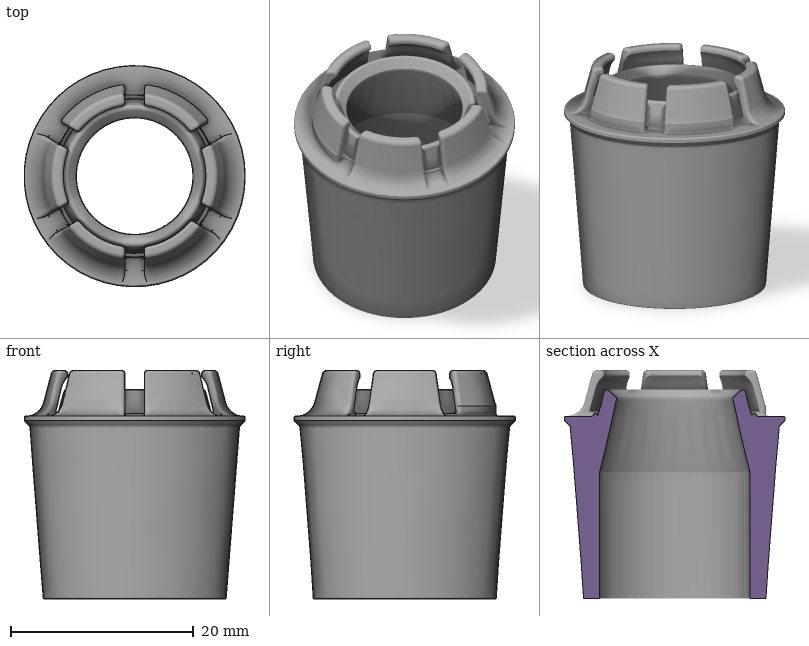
import cadquery as cq
import math

BODY_TOP_Z = 18.65
RIM_Z = 20.0
LIP_CREST_Z = 22.9
TOP_Z = 25.0

BODY_BOTTOM_R = 10.02
BODY_TOP_R = 11.46
BODY_EDGE_FILLET = 0.15
FLANGE_R = 12.1
FLANGE_EDGE_FILLET = 0.2
FLANGE_SIDE_BOTTOM_Z = 19.5
FLANGE_CHAMFER = 0.45
NECK_SAG = 0.06

BORE_R = 6.38
BORE_LAND = 0.28
CAVITY_R = 8.2
CAVITY_CONE_BOTTOM_Z = 13.9

LEAN = math.radians(15)
LIP_ROUND_R = 0.35
LIP_CENTER_R = 7.43
LIP_MOUTH_ANGLE = math.radians(133)

GROOVE_FLOOR_Z = 20.1
GROOVE_SAG = 0.1
GROOVE_STEP_R = 8.84
GROOVE_OUTER_R = 9.4
STEP_Z = 20.28
STEP_WIDTH = 0.07

FINGER_COUNT = 6
SLOT_PITCH = 360 / FINGER_COUNT
SLOT_WIDTH = 2.15
FINGER_OUTER_R = 9.02
FINGER_TOP_FILLET = 0.5
FINGER_END_FILLET = 0.35
FINGER_ROOT_Z = 19.55
FINGER_TOE_OVERLAP = 0.1
FINGER_TOE_HEIGHT = 0.03
END_EDGE_DEPTH = 0.75
FLARE_R = 2.0
FLARE_SINK = 0.005
BEAD_INNER_R = 7.8
BEAD_FILLET = 0.42
BEAD_RAMP_TOP_Z = 24.4
BEAD_RAMP_BOTTOM_Z = 23.2
BEAD_RAMP_SAG = 0.12

TRIM_R = 10.1
TRIMMED_FINGERS = (1, 2)
TRIM_CENTER_ANGLE = SLOT_PITCH * sum(TRIMMED_FINGERS) / len(TRIMMED_FINGERS)

FLOOR_FILLET = 0.25
FLOOR_FILLET_END_R = 10.3
STRIP_OVERLAP = 0.05
TOLERANCE = 0.005
ANGLE_MARGIN = 1

LIP_CENTER = (LIP_CENTER_R, LIP_CREST_Z - LIP_ROUND_R)
STEP_OUTER_R = GROOVE_STEP_R + STEP_WIDTH


def point_on_circle(center, radius, angle):
    return (center[0] + radius * math.cos(angle), center[1] + radius * math.sin(angle))


def turn(shape, angle):
    return shape.rotate((0, 0, 0), (0, 0, 1), angle)


def revolve_profile(profile):
    return profile.close().revolve(360, (0, 0, 0), (0, 1, 0))


def make_base():
    """Body, flange, bore, lip and groove floor as one turned shape."""
    lip_outer = point_on_circle(LIP_CENTER, LIP_ROUND_R, LEAN)
    lip_crest = (LIP_CENTER_R, LIP_CREST_Z)
    lip_inner = point_on_circle(LIP_CENTER, LIP_ROUND_R, LIP_MOUTH_ANGLE)
    groove_inner_r = lip_outer[0] + (lip_outer[1] - GROOVE_FLOOR_Z) * math.tan(LEAN)
    mouth_z = lip_inner[1] + (lip_inner[0] - BORE_R) / math.tan(LIP_MOUTH_ANGLE)
    neck = (FLANGE_R - FLANGE_CHAMFER, FLANGE_SIDE_BOTTOM_Z - FLANGE_CHAMFER)
    profile = (
        cq.Workplane("XZ")
        .moveTo(CAVITY_R, 0)
        .lineTo(BODY_BOTTOM_R - BODY_EDGE_FILLET, 0)
        .radiusArc((BODY_BOTTOM_R, BODY_EDGE_FILLET), -BODY_EDGE_FILLET)
        .lineTo(BODY_TOP_R, BODY_TOP_Z)
        .sagittaArc(neck, NECK_SAG)
        .lineTo(FLANGE_R, FLANGE_SIDE_BOTTOM_Z)
        .lineTo(FLANGE_R, RIM_Z - FLANGE_EDGE_FILLET)
        .radiusArc((FLANGE_R - FLANGE_EDGE_FILLET, RIM_Z), -FLANGE_EDGE_FILLET)
        .lineTo(STEP_OUTER_R + FLOOR_FILLET, RIM_Z)
        .radiusArc((STEP_OUTER_R, RIM_Z + FLOOR_FILLET), FLOOR_FILLET)
        .lineTo(STEP_OUTER_R, STEP_Z)
        .lineTo(GROOVE_STEP_R, STEP_Z)
        .sagittaArc((groove_inner_r, GROOVE_FLOOR_Z), -GROOVE_SAG)
        .lineTo(*lip_outer)
        .threePointArc(lip_crest, lip_inner)
        .lineTo(BORE_R, mouth_z)
        .lineTo(BORE_R, mouth_z - BORE_LAND)
        .lineTo(CAVITY_R, CAVITY_CONE_BOTTOM_Z)
    )
    return revolve_profile(profile)


def finger_profile():
    """Leaning finger with an inward bead at the top and a flare at the root."""
    flare_bottom_z = RIM_Z - FLARE_SINK
    flare_tangent_z = flare_bottom_z + FLARE_R * (1 - math.sin(LEAN))
    flare_tangent_r = FINGER_OUTER_R + (TOP_Z - flare_tangent_z) * math.tan(LEAN)
    flare_center = (flare_tangent_r + FLARE_R * math.cos(LEAN), flare_bottom_z + FLARE_R)
    flare_mid = point_on_circle(flare_center, FLARE_R, (math.radians(270) + math.pi + LEAN) / 2)

    top_center_r = FINGER_OUTER_R - FINGER_TOP_FILLET * math.tan(math.pi / 4 - LEAN / 2)
    top_center = (top_center_r, TOP_Z - FINGER_TOP_FILLET)
    top_outer = point_on_circle(top_center, FINGER_TOP_FILLET, LEAN)
    top_mid = point_on_circle(top_center, FINGER_TOP_FILLET, (LEAN + math.pi / 2) / 2)

    bead_center = (BEAD_INNER_R + BEAD_FILLET, TOP_Z - BEAD_FILLET)
    bead_mid = point_on_circle(bead_center, BEAD_FILLET, math.radians(135))

    toe_r = GROOVE_STEP_R - FINGER_TOE_OVERLAP
    toe_z = STEP_Z + FINGER_TOE_HEIGHT
    floor_outer_z = toe_z + (GROOVE_OUTER_R - toe_r) * math.tan(LEAN)
    ramp_bottom_r = GROOVE_OUTER_R - (BEAD_RAMP_BOTTOM_Z - floor_outer_z) * math.tan(LEAN)
    return (
        cq.Workplane("XZ")
        .moveTo(toe_r, FINGER_ROOT_Z)
        .lineTo(flare_center[0], FINGER_ROOT_Z)
        .lineTo(flare_center[0], flare_bottom_z)
        .threePointArc(flare_mid, (flare_tangent_r, flare_tangent_z))
        .lineTo(*top_outer)
        .threePointArc(top_mid, (top_center_r, TOP_Z))
        .lineTo(bead_center[0], TOP_Z)
        .threePointArc(bead_mid, (BEAD_INNER_R, bead_center[1]))
        .lineTo(BEAD_INNER_R, BEAD_RAMP_TOP_Z)
        .sagittaArc((ramp_bottom_r, BEAD_RAMP_BOTTOM_Z), BEAD_RAMP_SAG)
        .lineTo(GROOVE_OUTER_R, floor_outer_z)
        .lineTo(toe_r, toe_z)
    )


def finger_sector():
    """Wedge between two neighbouring slots, centred on +X, with sides parallel to the slots."""
    half_angle = math.pi / FINGER_COUNT
    tip = SLOT_WIDTH / 2 / math.sin(half_angle)
    reach = 2 * FLANGE_R
    spread = (reach - tip) * math.tan(half_angle)
    return (
        cq.Workplane("XY")
        .polyline([(tip, 0), (reach, -spread), (reach, spread)])
        .close()
        .extrude(TOP_Z)
    )


def is_rounded_end_edge(edge):
    """True for the outer and top edges of a finger's two end faces."""
    center = edge.Center()
    radius = math.hypot(center.x, center.y)
    lean_offset = radius + (center.z - TOP_Z) * math.tan(LEAN)
    above_root = center.z > FINGER_ROOT_Z + TOLERANCE
    return above_root and lean_offset > FINGER_OUTER_R - END_EDGE_DEPTH


def make_finger(trimmed):
    """One finger centred on +X with rounded ends."""
    finger = revolve_profile(finger_profile()).intersect(finger_sector())
    if trimmed:
        finger = finger.intersect(cq.Workplane("XY").circle(TRIM_R).extrude(TOP_Z))
    ends = finger.faces("#Z").faces("%PLANE")
    rounded = ends.edges().filter(is_rounded_end_edge)
    return finger.newObject(rounded.vals()).fillet(FINGER_END_FILLET)


def make_floor_fillet(side):
    """Concave strip where one side wall (+1 or -1) of the finger on +X meets the slot floor."""
    wall_y = SLOT_WIDTH / 2
    strip = (
        cq.Workplane("YZ")
        .workplane(offset=GROOVE_STEP_R + STEP_WIDTH / 2)
        .moveTo(wall_y + STRIP_OVERLAP, RIM_Z + FLOOR_FILLET)
        .lineTo(wall_y, RIM_Z + FLOOR_FILLET)
        .radiusArc((wall_y - FLOOR_FILLET, RIM_Z), FLOOR_FILLET)
        .lineTo(wall_y - FLOOR_FILLET, RIM_Z - STRIP_OVERLAP)
        .lineTo(wall_y + STRIP_OVERLAP, RIM_Z - STRIP_OVERLAP)
        .close()
        .extrude(FLOOR_FILLET_END_R - GROOVE_STEP_R)
    )
    if side > 0:
        strip = strip.mirror("XZ")
    return turn(strip, side * SLOT_PITCH / 2)


def is_trim_root_edge(edge):
    """True for the edges where a trimmed finger meets the rim face."""
    box = edge.BoundingBox()
    center = edge.Center()
    on_rim = max(abs(box.zmax - RIM_Z), abs(box.zmin - RIM_Z)) < TOLERANCE
    angle = math.degrees(math.atan2(center.y, center.x))
    half_span = SLOT_PITCH * len(TRIMMED_FINGERS) / 2
    beside_trim = abs(angle - TRIM_CENTER_ANGLE) < half_span - ANGLE_MARGIN
    inner_r = STEP_OUTER_R + FLOOR_FILLET + TOLERANCE
    return on_rim and beside_trim and inner_r < math.hypot(center.x, center.y) < TRIM_R


result = make_base()
for index in range(FINGER_COUNT):
    trimmed = index in TRIMMED_FINGERS
    result = result.union(turn(make_finger(trimmed), index * SLOT_PITCH))
    if not trimmed:
        for side in (-1, 1):
            result = result.union(turn(make_floor_fillet(side), index * SLOT_PITCH))
trim_root_edges = result.edges().filter(is_trim_root_edge).vals()
result = result.newObject(trim_root_edges).fillet(FLOOR_FILLET)